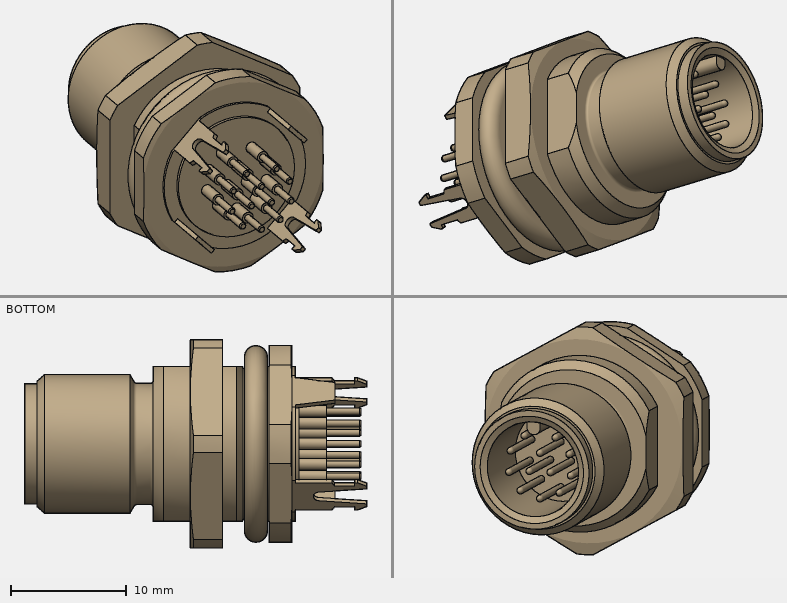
import cadquery as cq
import math


NOSE_RADIUS = 10.4 / 2
NOSE_LENGTH = 1.05
THREAD_RADIUS = 12.0 / 2
THREAD_LEAD_RADIUS = 5.4
THREAD_LEAD_END = 1.72
THREAD_END = 9.1
THREAD_RUNOUT_ANGLE = 60
THREAD_ROOT_X = 9.45
THREAD_ROOT_RADIUS = THREAD_RADIUS - (THREAD_ROOT_X - THREAD_END) * math.tan(math.radians(THREAD_RUNOUT_ANGLE))
RELIEF_RADIUS = 10.5 / 2
RELIEF_START = 9.72
RELIEF_FILLET = 0.22

SOCKET_MOUTH_RADIUS = 9.4 / 2
SOCKET_RADIUS = 8.3 / 2
SOCKET_CHAMFER = 0.3
SOCKET_FLOOR = 8.0
KEY_START = 0.5
KEY_WIDTH = 1.2
KEY_INNER_REACH = 3.0

BODY_START = 11.1
BODY_RADIUS = 7.55
BODY_FLAT_HALF = 6.7
BODY_FRONT_RADIUS = 6.85
BODY_FRONT_CHAMFER = 0.88
BODY_REAR_RADIUS = 6.6
BODY_REAR_CHAMFER_START = 18.3
BODY_END = 18.85
GROOVE_RADIUS = 6.52

RING_X = 19.97
RING_HALF_WIDTH = 1.0
RING_SIDE_RADIUS = 7.5
RING_SEAT_RADIUS = GROOVE_RADIUS - 0.1

NUT_START = 14.3
NUT_END = 17.1
NUT_FLATS = 18.0
NUT_CORNER_RADIUS = 10.0
NUT_FACE_RADIUS = 8.95
NUT_CHAMFER = 0.28

FLANGE_START = 21.12
FLANGE_END = 23.1
FLANGE_FLATS = 17.0
FLANGE_CORNER_RADIUS = 9.0
FLANGE_CHAMFER = 0.1
BOSS_RADIUS = 6.7
BOSS_START = 20.95
BOSS_END = 23.37

INSERT_RADIUS = 11.0 / 2
INSERT_END = 23.7
PIN_RADIUS = 0.6 / 2
PIN_DOME = 0.299
PIN_FRONT = 1.92
SLEEVE_RADIUS = 1.0 / 2
SLEEVE_END = 26.08
TAIL_RADIUS = 0.6 / 2
TAIL_END = 29.05
TAIL_CHAMFER = 0.15
OUTER_PIN_COUNT = 9
OUTER_PIN_CIRCLE = 2.9
OUTER_PIN_STEP = 37.7
INNER_PIN_COUNT = 3
INNER_PIN_CIRCLE = 1.1

TAB_OUTER_DISTANCE = 6.42
TAB_THICKNESS = 0.4
TAB_HALF_WIDTH = 1.66
TAB_EMBEDMENT = 0.5
TAB_ROOT = FLANGE_END - TAB_EMBEDMENT
CLIP_END = 29.55
CLIP_SHOULDER = 26.53
CLIP_NECK_START = 26.76
CLIP_NECK_END = 28.49
CLIP_NECK_HALF = 1.3
CLIP_BARB_END = 28.76
CLIP_TIP_HALF = 1.24
SLOT_START = 24.93
SLOT_ROUND_RADIUS = 0.53
SLOT_MOUTH_HALF = 0.91
PLAIN_TAB_END = 26.8
PLAIN_TAB_END_HALF = 1.07


def cylinder(start, end, radius):
    """Round bar along X between two stations."""
    return cq.Workplane("YZ", origin=(start, 0, 0)).circle(radius).extrude(end - start)


def revolve_about_x(profile):
    """Full turn of an XY profile about the X axis."""
    return profile.revolve(360, (0, 0, 0), (1, 0, 0))


def make_shell():
    """Turned nose, body and seal groove, with two flats on the body."""
    profile = (
        cq.Workplane("XY")
        .lineTo(0, NOSE_RADIUS)
        .lineTo(NOSE_LENGTH, NOSE_RADIUS)
        .lineTo(NOSE_LENGTH, THREAD_LEAD_RADIUS)
        .lineTo(THREAD_LEAD_END, THREAD_RADIUS)
        .lineTo(THREAD_END, THREAD_RADIUS)
        .lineTo(THREAD_ROOT_X, THREAD_ROOT_RADIUS)
        .tangentArcPoint((RELIEF_START, RELIEF_RADIUS), relative=False)
        .lineTo(BODY_START - RELIEF_FILLET, RELIEF_RADIUS)
        .radiusArc((BODY_START, RELIEF_RADIUS + RELIEF_FILLET), -RELIEF_FILLET)
        .lineTo(BODY_START, BODY_FRONT_RADIUS)
        .lineTo(BODY_START + BODY_FRONT_CHAMFER, BODY_RADIUS)
        .lineTo(BODY_REAR_CHAMFER_START, BODY_RADIUS)
        .lineTo(BODY_END, BODY_REAR_RADIUS)
        .lineTo(BODY_END, GROOVE_RADIUS)
        .lineTo(FLANGE_START, GROOVE_RADIUS)
        .lineTo(FLANGE_START, 0)
        .close()
    )
    flats = cq.Workplane("YZ").rect(2 * BODY_FLAT_HALF, 4 * BODY_RADIUS).extrude(FLANGE_START)
    return revolve_about_x(profile).intersect(flats)


def make_socket():
    """Empty space of the socket: a bore with a chamfered mouth, less the coding key."""
    profile = (
        cq.Workplane("XY")
        .lineTo(0, SOCKET_MOUTH_RADIUS)
        .lineTo(SOCKET_CHAMFER, SOCKET_RADIUS)
        .lineTo(SOCKET_FLOOR, SOCKET_RADIUS)
        .lineTo(SOCKET_FLOOR, 0)
        .close()
    )
    key_round_z = KEY_INNER_REACH + KEY_WIDTH / 2
    key = (
        cq.Workplane("YZ", origin=(KEY_START, 0, 0))
        .moveTo(-KEY_WIDTH / 2, SOCKET_MOUTH_RADIUS)
        .lineTo(-KEY_WIDTH / 2, key_round_z)
        .threePointArc((0, KEY_INNER_REACH), (KEY_WIDTH / 2, key_round_z))
        .lineTo(KEY_WIDTH / 2, SOCKET_MOUTH_RADIUS)
        .close()
        .extrude(SOCKET_FLOOR - KEY_START)
    )
    return revolve_about_x(profile).cut(key)


def hexagon(start, end, flats):
    """Hexagonal bar along X with two of its flats facing +Y and -Y."""
    across_corners = flats / math.cos(math.radians(30))
    return (
        cq.Workplane("YZ", origin=(start, 0, 0))
        .transformed(rotate=(0, 0, 90))
        .polygon(6, across_corners)
        .extrude(end - start)
    )


def make_nut():
    """Hexagonal lock nut, turned on its corners and chamfered on the mating side."""
    turned = revolve_about_x(
        cq.Workplane("XY")
        .moveTo(NUT_START, 0)
        .lineTo(NUT_START, NUT_FACE_RADIUS)
        .lineTo(NUT_START + NUT_CHAMFER, NUT_CORNER_RADIUS)
        .lineTo(NUT_END, NUT_CORNER_RADIUS)
        .lineTo(NUT_END, 0)
        .close()
    )
    return hexagon(NUT_START, NUT_END, NUT_FLATS).intersect(turned)


def make_flange():
    """Hexagonal rear flange, turned on its corners and chamfered on the rear side."""
    turned = revolve_about_x(
        cq.Workplane("XY")
        .moveTo(FLANGE_START, 0)
        .lineTo(FLANGE_START, FLANGE_CORNER_RADIUS)
        .lineTo(FLANGE_END - FLANGE_CHAMFER, FLANGE_CORNER_RADIUS)
        .lineTo(FLANGE_END, FLANGE_FLATS / 2)
        .lineTo(FLANGE_END, 0)
        .close()
    )
    return hexagon(FLANGE_START, FLANGE_END, FLANGE_FLATS).intersect(turned)


def make_boss():
    """Round boss on both sides of the flange, with four diagonal flats behind it."""
    front = cylinder(BOSS_START, FLANGE_END, BOSS_RADIUS)
    rear = cylinder(FLANGE_END, BOSS_END, BOSS_RADIUS)
    flats = (
        cq.Workplane("YZ", origin=(FLANGE_END, 0, 0))
        .transformed(rotate=(0, 0, 45))
        .rect(2 * TAB_OUTER_DISTANCE, 2 * TAB_OUTER_DISTANCE)
        .extrude(BOSS_END - FLANGE_END)
    )
    return front.union(rear.intersect(flats))


def make_ring():
    """Sealing ring seated in the groove: flat sides and a half-round rim."""
    front = RING_X - RING_HALF_WIDTH
    rear = RING_X + RING_HALF_WIDTH
    return revolve_about_x(
        cq.Workplane("XY")
        .moveTo(front, RING_SEAT_RADIUS)
        .lineTo(front, RING_SIDE_RADIUS)
        .threePointArc((RING_X, RING_SIDE_RADIUS + RING_HALF_WIDTH), (rear, RING_SIDE_RADIUS))
        .lineTo(rear, RING_SEAT_RADIUS)
        .close()
    )


def pin_positions():
    """(Y, Z) centres: an outer row centred on the bottom with a gap at the key, and three inside."""
    middle = (OUTER_PIN_COUNT - 1) / 2
    outer = [(OUTER_PIN_CIRCLE, -90 + (i - middle) * OUTER_PIN_STEP) for i in range(OUTER_PIN_COUNT)]
    inner = [(INNER_PIN_CIRCLE, 90 + i * 360 / INNER_PIN_COUNT) for i in range(INNER_PIN_COUNT)]
    return [
        (radius * math.cos(math.radians(angle)), radius * math.sin(math.radians(angle)))
        for radius, angle in outer + inner
    ]


def make_pin():
    """One contact on the X axis: domed front pin, and rear sleeve with a thin chamfered tail."""
    front = cylinder(PIN_FRONT, BODY_START, PIN_RADIUS).faces("<X").edges().fillet(PIN_DOME)
    sleeve = cylinder(BOSS_END, SLEEVE_END, SLEEVE_RADIUS)
    tail = cylinder(BOSS_END, TAIL_END, TAIL_RADIUS).faces(">X").edges().chamfer(TAIL_CHAMFER, TAIL_CHAMFER / 2)
    return front, sleeve.union(tail)


def tab_plate(outline):
    """Plate from an (X, width) outline, its outer face looking toward +Z."""
    return outline.extrude(-TAB_THICKNESS).translate((0, 0, TAB_OUTER_DISTANCE))


def make_clip_tab():
    """Forked tab with two barbed prongs and a slot that opens toward the tips."""
    slot_center = SLOT_START + SLOT_ROUND_RADIUS
    plate = tab_plate(
        cq.Workplane("XY")
        .moveTo(TAB_ROOT, 0)
        .lineTo(TAB_ROOT, TAB_HALF_WIDTH)
        .lineTo(CLIP_SHOULDER, TAB_HALF_WIDTH)
        .lineTo(CLIP_NECK_START, CLIP_NECK_HALF)
        .lineTo(CLIP_NECK_END, CLIP_NECK_HALF)
        .lineTo(CLIP_NECK_END, TAB_HALF_WIDTH)
        .lineTo(CLIP_BARB_END, TAB_HALF_WIDTH)
        .lineTo(CLIP_END, CLIP_TIP_HALF)
        .lineTo(CLIP_END, 0)
        .mirrorX()
    )
    slot = tab_plate(
        cq.Workplane("XY")
        .moveTo(CLIP_END, SLOT_MOUTH_HALF)
        .lineTo(slot_center, SLOT_ROUND_RADIUS)
        .threePointArc((SLOT_START, 0), (slot_center, -SLOT_ROUND_RADIUS))
        .lineTo(CLIP_END, -SLOT_MOUTH_HALF)
        .close()
    )
    return plate.cut(slot)


def make_plain_tab():
    """Short tab that tapers toward its end."""
    return tab_plate(
        cq.Workplane("XY")
        .moveTo(TAB_ROOT, TAB_HALF_WIDTH)
        .lineTo(BOSS_END, TAB_HALF_WIDTH)
        .lineTo(PLAIN_TAB_END, PLAIN_TAB_END_HALF)
        .lineTo(PLAIN_TAB_END, -PLAIN_TAB_END_HALF)
        .lineTo(BOSS_END, -TAB_HALF_WIDTH)
        .lineTo(TAB_ROOT, -TAB_HALF_WIDTH)
        .close()
    )


def turned_about_x(shape, angle):
    """Copy of a shape turned about the X axis."""
    return shape.rotate((0, 0, 0), (1, 0, 0), angle)


result = make_shell().cut(make_socket())
for part in (make_nut(), make_flange(), make_boss(), make_ring()):
    result = result.union(part)
result = result.union(cylinder(FLANGE_START, INSERT_END, INSERT_RADIUS))

for y, z in pin_positions():
    for piece in make_pin():
        result = result.union(piece.translate((0, y, z)))

for clip_angle in (45, 225):
    result = result.union(turned_about_x(make_clip_tab(), clip_angle))
    result = result.union(turned_about_x(make_plain_tab(), clip_angle + 90))